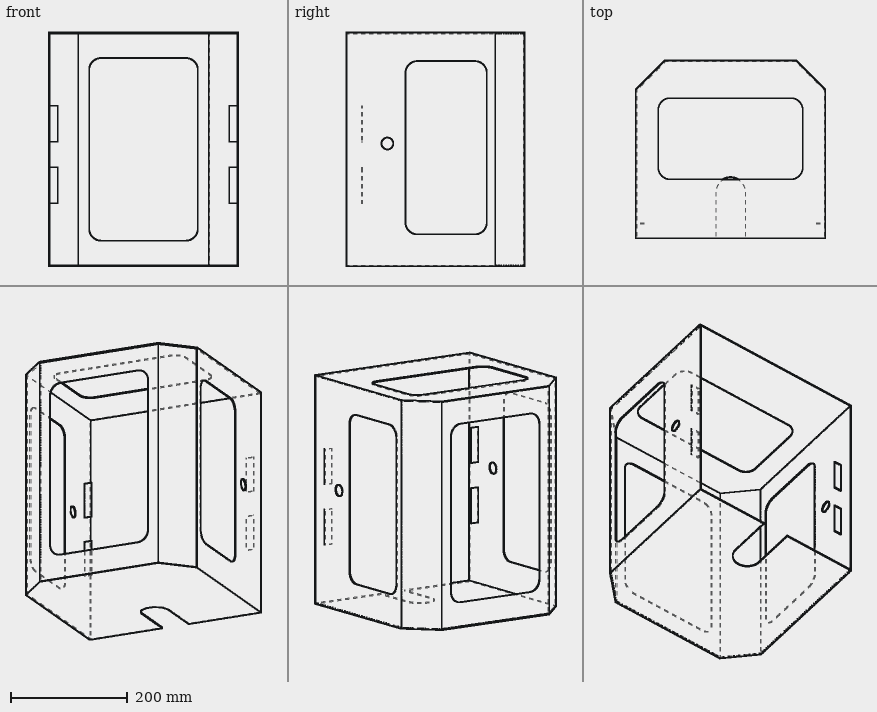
import cadquery as cq

width = 325.0
depth = 305.0
height = 400.0
sheet = 2.0
corner_cut = 50.0

window_radius = 20.0
rear_window_width = 185.5
rear_window_height = 312.0
top_window_width = 247.0
top_window_depth = 139.0
top_window_front = 101.0
side_window_depth = 139.0
side_window_height = 296.0
side_window_center_z = 203.0
side_window_front = 101.0
rear_window_center_z = height / 2

hole_diameter = 20.0
hole_y = 70.0
hole_z = 210.0
slot_width = 50.0
slot_length = 105.0

tab_reach = 16.0
tab_height = 61.5
tab_front = 25.0
tab_centers_z = (138.5, 244.0)


def rear_corner_outline(half_width, front, rear, cut):
    """Plan outline with a square front and two 45 degree rear corners."""
    return [
        (-half_width, front),
        (half_width, front),
        (half_width, rear - cut),
        (half_width - cut, rear),
        (-half_width + cut, rear),
        (-half_width, rear - cut),
    ]


def make_shell():
    inner_cut = corner_cut - sheet * (2 - 2**0.5)
    outer = rear_corner_outline(width / 2, 0, depth, corner_cut)
    inner = rear_corner_outline(width / 2 - sheet, 0, depth - sheet, inner_cut)
    body = cq.Workplane("XY").polyline(outer).close().extrude(height)
    cavity = (
        cq.Workplane("XY", origin=(0, 0, sheet))
        .polyline(inner)
        .close()
        .extrude(height - 2 * sheet)
    )
    return body.cut(cavity)


def window_cutter(size, center, axis):
    """Box centred on center, with its edges along axis rounded."""
    return cq.Workplane("XY").box(*size).edges(f"|{axis}").fillet(window_radius).translate(center)


def cut_windows(body):
    wall_pass = 4 * sheet
    rear = window_cutter(
        (rear_window_width, wall_pass, rear_window_height), (0, depth, rear_window_center_z), "Y"
    )
    top = window_cutter(
        (top_window_width, top_window_depth, wall_pass),
        (0, top_window_front + top_window_depth / 2, height),
        "Z",
    )
    sides = window_cutter(
        (2 * width, side_window_depth, side_window_height),
        (0, side_window_front + side_window_depth / 2, side_window_center_z),
        "X",
    )
    return body.cut(rear).cut(top).cut(sides)


def cut_side_holes(body):
    drill = (
        cq.Workplane("YZ")
        .center(hole_y, hole_z)
        .circle(hole_diameter / 2)
        .extrude(width, both=True)
    )
    return body.cut(drill)


def cut_floor_slot(body):
    radius = slot_width / 2
    slot = (
        cq.Workplane("XY")
        .moveTo(-radius, 0)
        .lineTo(radius, 0)
        .lineTo(radius, slot_length - radius)
        .threePointArc((0, slot_length), (-radius, slot_length - radius))
        .close()
        .extrude(sheet)
    )
    return body.cut(slot)


def add_tabs(body):
    for side in (-1, 1):
        for center_z in tab_centers_z:
            tab = cq.Workplane("XY").box(tab_reach, sheet, tab_height)
            center_x = side * (width - tab_reach) / 2
            body = body.union(tab.translate((center_x, tab_front + sheet / 2, center_z)))
    return body


result = make_shell()
result = cut_windows(result)
result = cut_side_holes(result)
result = cut_floor_slot(result)
result = add_tabs(result)